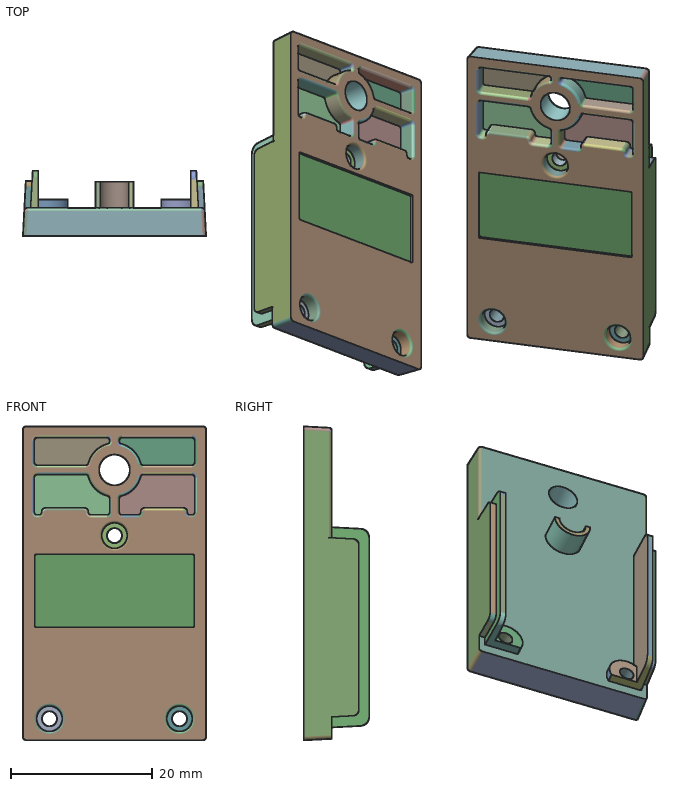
import cadquery as cq
import math

WIDTH = 26.0
HEIGHT = 44.5
DEPTH = 9.3
PLATE_THICKNESS = 4.0
DRAFT_ANGLE = 3.0
DRAFT = math.tan(math.radians(DRAFT_ANGLE))
CORNER_RADIUS = 0.55
BACK_EDGE_RADIUS = 0.45

MAIN_HOLE_DIAMETER = 4.3
MAIN_HOLE_Z = 16.05
RING_RADIUS = 3.45
RIB_WIDTH = 0.65

POCKET_DEPTH = 2.5
POCKET_OUTER_X = 11.7
POCKET_TOP_Z = 20.95
POCKET_BOTTOM_Z = 9.35
MOUTH_RADIUS = 0.35
POCKET_CORNER_RADIUS = 0.35
SHELF_CORNER_RADIUS = 0.55
SHELF_Z = 10.32
SHELF_INNER_X = 4.05
SHELF_OUTER_X = 9.95

SCREW_HOLE_DIAMETER = 2.1
COUNTERBORE_MOUTH_DIAMETER = 4.3
COUNTERBORE_DEPTH = 2.1
LOWER_SCREW_X = 9.2
LOWER_SCREW_Z = -19.2
UPPER_SCREW_Z = 6.75

LABEL_WIDTH = 22.6
LABEL_HEIGHT = 10.35
LABEL_CENTRE_Z = -1.05
LABEL_DEPTH = 0.4
LABEL_CORNER_RADIUS = 0.25

WALL_CENTRE_Z = -6.25
OUTER_WALL_TOP_Y = 7.85
OUTER_WALL_LENGTH = 25.35
OUTER_WALL_RADIUS = 0.9
TONGUE_LENGTH = 28.4
TONGUE_RADIUS = 1.35
WALL_INNER_X = 10.75
TONGUE_OUTER_X = 11.9

BOSS_DIAMETER = 5.2
BOSS_TOP_Y = 5.2
HOOK_OUTER_DIAMETER = 5.4
HOOK_INNER_DIAMETER = 4.0
HOOK_TOP_Y = 7.75


def cylinder(x, z, diameter, start_y, end_y):
    """Cylinder along Y between two depths."""
    base = cq.Workplane("XZ", origin=(x, start_y, z))
    return base.circle(diameter / 2).extrude(start_y - end_y)


def both_sides(solid):
    """The solid together with its mirror image across X = 0."""
    return solid.union(solid.mirror("YZ"))


def make_plate():
    plate = cq.Workplane("ZX").rect(HEIGHT, WIDTH).extrude(PLATE_THICKNESS, taper=DRAFT_ANGLE)
    plate = plate.edges("not(#Y)").fillet(CORNER_RADIUS)
    rounded = plate.edges(">Y").fillet(BACK_EDGE_RADIUS)
    lower_half = cq.Workplane("XY", origin=(0, 0, WALL_CENTRE_Z)).rect(WIDTH, 2 * DEPTH).extrude(-HEIGHT)
    return rounded.union(plate.intersect(lower_half))


def wall_profile(length, top_y, radius):
    """Side outline of a wall: drafted ends, rounded back corners, thick enough to span the part in X."""
    half_base = length / 2
    half_top = half_base - (top_y - PLATE_THICKNESS) * DRAFT
    half_front = half_base + PLATE_THICKNESS * DRAFT
    outline = cq.Workplane("YZ", origin=(0, 0, WALL_CENTRE_Z)).polyline(
        [(0, -half_front), (top_y, -half_top), (top_y, half_top), (0, half_front)]
    )
    return outline.close().extrude(WIDTH).edges("|X and >Y").fillet(radius)


def wall_section(inner_x, outer_x, start_y, end_y):
    """Wall cross-section with a drafted outer face, running the full height."""
    outer_end_x = outer_x - (end_y - start_y) * DRAFT
    outline = cq.Workplane("XY").polyline(
        [(inner_x, start_y), (outer_x, start_y), (outer_end_x, end_y), (inner_x, end_y)]
    )
    return outline.close().extrude(HEIGHT / 2, both=True)


def make_side_walls():
    outer_wall = wall_section(WALL_INNER_X, WIDTH / 2, 0, OUTER_WALL_TOP_Y).intersect(
        wall_profile(OUTER_WALL_LENGTH, OUTER_WALL_TOP_Y, OUTER_WALL_RADIUS)
    )
    tongue = wall_section(WALL_INNER_X, TONGUE_OUTER_X, PLATE_THICKNESS, DEPTH).intersect(
        wall_profile(TONGUE_LENGTH, DEPTH, TONGUE_RADIUS)
    )
    return both_sides(outer_wall.union(tongue))


def make_screw_bosses():
    """Bosses behind the lower screws, cut flush with the lower ends of the tongues."""
    boss = cylinder(LOWER_SCREW_X, LOWER_SCREW_Z, BOSS_DIAMETER, PLATE_THICKNESS, BOSS_TOP_Y)
    boss = boss.intersect(wall_profile(TONGUE_LENGTH, DEPTH, TONGUE_RADIUS))
    return both_sides(boss)


def make_hook():
    """Half ring below the upper screw, open toward +Z."""
    ring = cylinder(0, UPPER_SCREW_Z, HOOK_OUTER_DIAMETER, PLATE_THICKNESS, HOOK_TOP_Y)
    ring = ring.cut(cylinder(0, UPPER_SCREW_Z, HOOK_INNER_DIAMETER, PLATE_THICKNESS, HOOK_TOP_Y))
    upper_half = cq.Workplane("XY", origin=(0, 0, UPPER_SCREW_Z)).rect(WIDTH, 2 * DEPTH)
    return ring.cut(upper_half.extrude(HOOK_OUTER_DIAMETER))


def make_pocket(points):
    """Right-hand pocket with straight walls, inset from its mouth by the mouth radius."""
    pocket = cq.Workplane("XZ").polyline(points).close().extrude(-POCKET_DEPTH)
    ring_diameter = 2 * (RING_RADIUS + MOUTH_RADIUS)
    return pocket.cut(cylinder(0, MAIN_HOLE_Z, ring_diameter, 0, POCKET_DEPTH))


def make_pockets():
    rib_offset = RIB_WIDTH / 2 + MOUTH_RADIUS
    inner_x = rib_offset
    outer_x = POCKET_OUTER_X - MOUTH_RADIUS
    top_z = POCKET_TOP_Z - MOUTH_RADIUS
    above_rib = MAIN_HOLE_Z + rib_offset
    below_rib = MAIN_HOLE_Z - rib_offset
    bottom_z = POCKET_BOTTOM_Z + MOUTH_RADIUS
    shelf_z = SHELF_Z + MOUTH_RADIUS
    shelf_inner_x = SHELF_INNER_X - MOUTH_RADIUS
    shelf_outer_x = SHELF_OUTER_X + MOUTH_RADIUS

    upper = make_pocket(
        [(inner_x, above_rib), (outer_x, above_rib), (outer_x, top_z), (inner_x, top_z)]
    )
    upper = upper.edges("|Y").fillet(POCKET_CORNER_RADIUS)

    lower = make_pocket(
        [
            (inner_x, below_rib),
            (outer_x, below_rib),
            (outer_x, bottom_z),
            (shelf_outer_x, bottom_z),
            (shelf_outer_x, shelf_z),
            (shelf_inner_x, shelf_z),
            (shelf_inner_x, bottom_z),
            (inner_x, bottom_z),
        ]
    )
    margin = 0.05
    shelf_corners = cq.selectors.BoxSelector(
        (shelf_inner_x - margin, 0, shelf_z - margin),
        (shelf_outer_x + margin, POCKET_DEPTH, shelf_z + margin),
    )
    depth_edges = cq.StringSyntaxSelector("|Y")
    lower = lower.edges(depth_edges - shelf_corners).fillet(POCKET_CORNER_RADIUS)
    lower = lower.edges(depth_edges & shelf_corners).fillet(SHELF_CORNER_RADIUS)
    return both_sides(upper.union(lower))


def make_counterbores():
    inner_diameter = COUNTERBORE_MOUTH_DIAMETER - 2 * MOUTH_RADIUS
    lower = cylinder(LOWER_SCREW_X, LOWER_SCREW_Z, inner_diameter, 0, COUNTERBORE_DEPTH)
    upper = cylinder(0, UPPER_SCREW_Z, inner_diameter, 0, COUNTERBORE_DEPTH)
    return both_sides(lower).union(upper)


def make_through_holes():
    main = cylinder(0, MAIN_HOLE_Z, MAIN_HOLE_DIAMETER, 0, DEPTH)
    lower = cylinder(LOWER_SCREW_X, LOWER_SCREW_Z, SCREW_HOLE_DIAMETER, 0, DEPTH)
    upper = cylinder(0, UPPER_SCREW_Z, SCREW_HOLE_DIAMETER, 0, DEPTH)
    return both_sides(lower).union(upper).union(main)


def make_label_recess():
    outline = cq.Workplane("XZ", origin=(0, 0, LABEL_CENTRE_Z)).rect(LABEL_WIDTH, LABEL_HEIGHT)
    return outline.extrude(-LABEL_DEPTH).edges("|Y").fillet(LABEL_CORNER_RADIUS)


body = make_plate().union(make_side_walls()).union(make_screw_bosses()).union(make_hook())
body = body.cut(make_pockets()).cut(make_counterbores())

mouths = body.faces("<Y").val().innerWires()
mouth_edges = [edge for mouth in mouths for edge in mouth.Edges()]
body = body.newObject(mouth_edges).fillet(MOUTH_RADIUS)

result = body.cut(make_through_holes()).cut(make_label_recess())